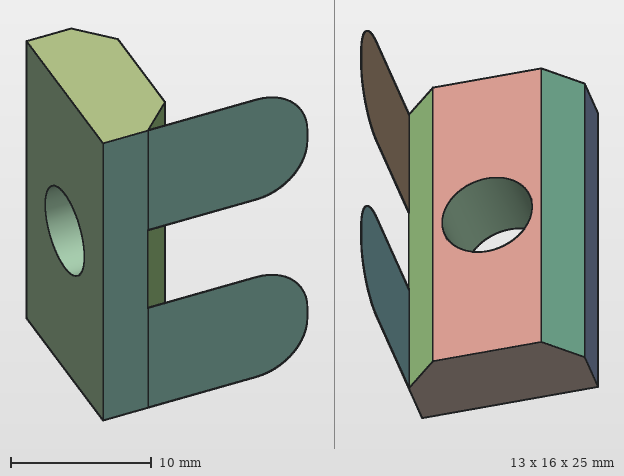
import cadquery as cq

width = 13.0
height = 25.0
thickness = 6.0
bevel = 2.5
hole_diameter = 6.65

total_depth = 16.0
tab_height = 9.0
tab_corner_radius = 4.0
tab_thickness = 0.05


def make_block():
    """Bevelled block, front face on Y = 0, with a through hole at its centre."""
    side_depth = thickness - bevel
    half_width = width / 2
    block = (
        cq.Workplane("XY")
        .moveTo(-half_width, 0)
        .lineTo(half_width, 0)
        .lineTo(half_width, side_depth)
        .lineTo(half_width - bevel, thickness)
        .lineTo(-half_width + bevel, thickness)
        .lineTo(-half_width, side_depth)
        .close()
        .extrude(height)
    )
    hole = (
        cq.Workplane("XZ")
        .center(0, height / 2)
        .circle(hole_diameter / 2)
        .extrude(-thickness)
    )
    return block.cut(hole)


def make_tab(bottom):
    """Thin tab rooted inside the block, flush with its +X face, with rounded free corners."""
    return (
        cq.Workplane("XY")
        .box(tab_thickness, total_depth, tab_height, centered=False)
        .edges("|X and >Y")
        .fillet(tab_corner_radius)
        .translate((width / 2 - tab_thickness, 0, bottom))
    )


result = make_block()
for tab_bottom in (0, height - tab_height):
    result = result.union(make_tab(tab_bottom))